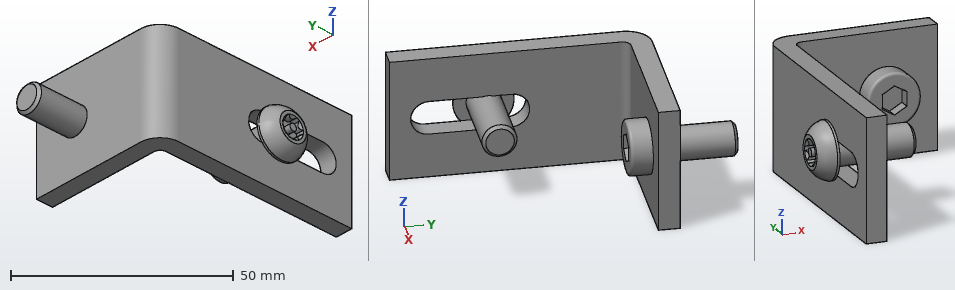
import cadquery as cq
import math

thickness = 5.0
width = 30.0
long_leg = 60.0
short_leg = 40.0
outer_bend_radius = 6.0
inner_bend_radius = 2.0
slot_width = 8.25
slot_near_end = 4.9
slot_far_end = 32.1

shank_diameter = 8.0
shank_radius = shank_diameter / 2
shank_length = 15.0 + thickness
tip_chamfer = 0.75

button_y = 22.5
button_z = 0.3
button_head_radius = 14.0 / 2
button_head_height = 4.4
button_rim_height = 0.6
button_flat_radius = 8.2 / 2
button_bulge = 0.5
star_tip_radius = 6.4 / 2
star_waist_radius = 5.0 / 2
star_lobe_radius = 1.65
star_lobes = 6
star_depth = 2.25
star_countersink = star_tip_radius - star_waist_radius
security_pin_radius = 2.0 / 2

cap_x = 27.45
cap_head_radius = 13.0 / 2
cap_head_height = 5.0
cap_head_fillet = 0.7
hex_across_flats = 6.0
hex_across_corners = hex_across_flats / math.cos(math.pi / 6)
hex_depth = 3.0

button_plane = cq.Plane(origin=(0, button_y, button_z), xDir=(0, 1, 0), normal=(1, 0, 0))
cap_plane = cq.Plane(origin=(cap_x, long_leg - thickness, 0), xDir=(0, 0, 1), normal=(0, 1, 0))


def make_bracket():
    """L-shaped bent plate with a slot in the long leg and a round hole in the short leg."""
    plate = (
        cq.Workplane("XY")
        .workplane(offset=-width / 2)
        .polyline([
            (0, 0),
            (thickness, 0),
            (thickness, long_leg - thickness),
            (short_leg, long_leg - thickness),
            (short_leg, long_leg),
            (0, long_leg),
        ])
        .close()
        .extrude(width)
    )
    inner_corner = cq.NearestToPointSelector((thickness, long_leg - thickness, 0))
    plate = plate.edges("|Z").edges(inner_corner).fillet(inner_bend_radius)
    outer_corner = cq.NearestToPointSelector((0, long_leg, 0))
    plate = plate.edges("|Z").edges(outer_corner).fillet(outer_bend_radius)

    slot = (
        cq.Workplane("YZ")
        .center((slot_near_end + slot_far_end) / 2, 0)
        .slot2D(slot_far_end - slot_near_end, slot_width)
        .extrude(thickness)
    )
    shank_relief = cq.Workplane(button_plane).circle(shank_radius).extrude(thickness)
    cap_hole = cq.Workplane(cap_plane).circle(shank_radius).extrude(thickness)
    return plate.cut(slot).cut(shank_relief).cut(cap_hole)


def make_shank():
    """Plain round shank with a chamfered end."""
    return cq.Workplane("XY").circle(shank_radius).extrude(shank_length).faces(">Z").chamfer(tip_chamfer)


def make_star_socket():
    """Six-pointed recess with a countersunk mouth, leaving a security pin in its centre."""
    mouth = cq.Workplane("XY").workplane(offset=-button_head_height)
    star = mouth.circle(star_tip_radius).extrude(star_depth)
    lobes = (
        mouth.polarArray(star_waist_radius + star_lobe_radius, 90, 360, star_lobes)
        .circle(star_lobe_radius)
        .extrude(star_depth)
    )
    countersink = mouth.circle(star_tip_radius).workplane(offset=star_countersink)
    countersink = countersink.circle(star_waist_radius).loft()
    pin = mouth.circle(security_pin_radius).extrude(star_depth)
    return star.cut(lobes).union(countersink).cut(pin)


def make_button_screw():
    """Domed head with a short rim, a flat top and a star socket."""
    dome_middle = (
        (button_head_radius + button_flat_radius) / 2 + button_bulge / math.sqrt(2),
        -(button_head_height + button_rim_height) / 2 - button_bulge / math.sqrt(2),
    )
    head = (
        cq.Workplane("XZ")
        .lineTo(button_head_radius, 0)
        .lineTo(button_head_radius, -button_rim_height)
        .threePointArc(dome_middle, (button_flat_radius, -button_head_height))
        .lineTo(0, -button_head_height)
        .close()
        .revolve(360, (0, 0), (0, 1))
    )
    screw = head.union(make_shank()).cut(make_star_socket())
    return screw.val().moved(cq.Location(button_plane))


def make_cap_screw():
    """Cylindrical head with a rounded top edge and a hexagon socket."""
    head = cq.Workplane("XY").circle(cap_head_radius).extrude(-cap_head_height)
    head = head.faces("<Z").edges().fillet(cap_head_fillet)
    socket = (
        cq.Workplane("XY")
        .workplane(offset=-cap_head_height)
        .polygon(6, hex_across_corners)
        .extrude(hex_depth)
    )
    screw = head.union(make_shank()).cut(socket)
    return screw.val().moved(cq.Location(cap_plane))


bracket = make_bracket()
button_screw = make_button_screw()
cap_screw = make_cap_screw()

result = cq.Compound.makeCompound([
    bracket.val(),
    button_screw,
    cap_screw,
])